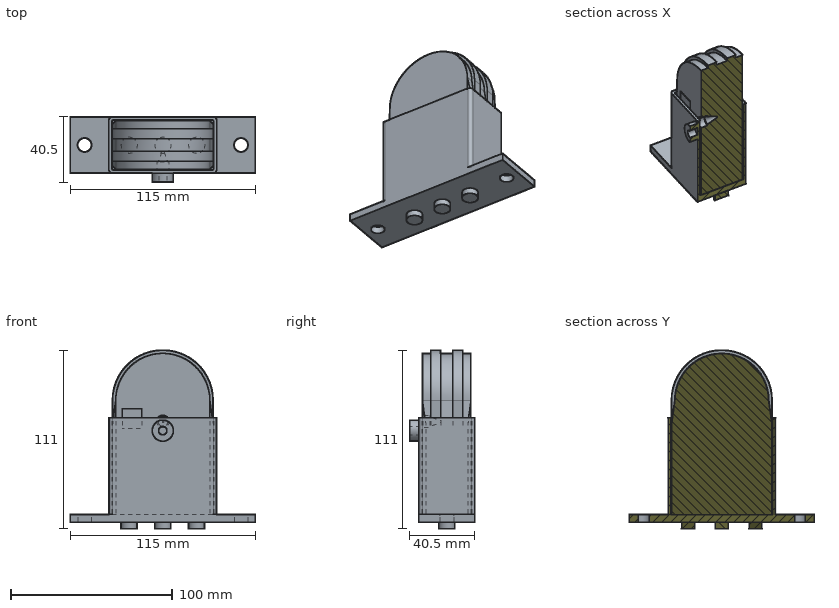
import cadquery as cq

PLATE_LENGTH = 115.0
PLATE_WIDTH = 35.0
PLATE_THICKNESS = 5.0
PLATE_FRONT = -PLATE_WIDTH / 2
MOUNT_HOLE_SPACING = 97.1
MOUNT_HOLE_DIAMETER = 8.5

BOX_LENGTH = 66.9
BOX_TOP = 65.0
WALL = 2.0
CORNER_RADIUS = 2.2
INNER_CORNER_RADIUS = 0.9
CAVITY_LENGTH = BOX_LENGTH - 2 * WALL
CAVITY_WIDTH = PLATE_WIDTH - 2 * WALL

BOSS_DIAMETER = 13.1
BOSS_LENGTH = 5.5
BOSS_HOLE_DIAMETER = 5.2
BOSS_BELOW_RIM = 8.0
BOSS_Z = BOX_TOP - BOSS_BELOW_RIM

BLOCK_TOP = 107.0
BLOCK_WIDTH = 30.1
BLOCK_FRONT = -BLOCK_WIDTH / 2
RIB_RADIUS = 31.3
RIB_HEIGHT = 2.1
CORE_RADIUS = RIB_RADIUS - RIB_HEIGHT
ARC_Z = BLOCK_TOP - RIB_RADIUS
RIB_WIDTH = 6.3
RIB_GAP = 7.5
RIB_OFFSET = (RIB_GAP + RIB_WIDTH) / 2
SLOPE_HEIGHT = 15.0

BORE_BELOW_RIM = 2.3
BORE_Z = BOX_TOP - BORE_BELOW_RIM
BORE_DIAMETER = 7.6
BORE_DEPTH = 4.6
CONE_DIAMETER = 6.0
CONE_DEPTH = 6.9
CONE_TAPER = 20.0

RECESS_SIZE = 12.1
RECESS_DEPTH = 0.1
RECESS_CENTER_X = -19.0
RECESS_TOP = 70.5

PIN_DIAMETER = 10.0
PIN_LENGTH = 4.0
PIN_SPACING = 20.9


def front_plane(y, z, x=0.0):
    """Workplane facing -Y, with its local x along X and its local y along Z."""
    return cq.Workplane(cq.Plane(origin=(x, y, z), xDir=(1, 0, 0), normal=(0, -1, 0)))


def rounded_column(length, width, radius):
    """Upright column with rounded corners, from the top of the plate to the rim of the box."""
    return (
        cq.Workplane("XY", origin=(0, 0, PLATE_THICKNESS))
        .rect(length, width)
        .extrude(BOX_TOP - PLATE_THICKNESS)
        .edges("|Z")
        .fillet(radius)
    )


def make_housing():
    """Plate, box walls and boss in one piece."""
    plate = (
        cq.Workplane("XY")
        .box(PLATE_LENGTH, PLATE_WIDTH, PLATE_THICKNESS, centered=(True, True, False))
        .faces(">Z")
        .workplane()
        .rarray(MOUNT_HOLE_SPACING, 1.2, 2, 1)
        .hole(MOUNT_HOLE_DIAMETER)
    )
    outside = rounded_column(BOX_LENGTH, PLATE_WIDTH, CORNER_RADIUS)
    cavity = rounded_column(CAVITY_LENGTH, CAVITY_WIDTH, INNER_CORNER_RADIUS)
    boss = (
        front_plane(PLATE_FRONT, BOSS_Z)
        .circle(BOSS_DIAMETER / 2)
        .circle(BOSS_HOLE_DIAMETER / 2)
        .extrude(BOSS_LENGTH)
    )
    return plate.union(outside.cut(cavity)).union(boss)


def arched_slab(radius, width, center_y):
    """Upright slab with a round top; below the arc its sides slope out to the width of the ribs."""
    slope_end_z = ARC_Z - SLOPE_HEIGHT
    outline = front_plane(center_y + width / 2, 0).moveTo(-RIB_RADIUS, PLATE_THICKNESS)
    outline = outline.lineTo(-RIB_RADIUS, slope_end_z)
    outline = outline.lineTo(-radius, ARC_Z)
    outline = outline.threePointArc((0, ARC_Z + radius), (radius, ARC_Z))
    outline = outline.lineTo(RIB_RADIUS, slope_end_z)
    outline = outline.lineTo(RIB_RADIUS, PLATE_THICKNESS)
    return outline.close().extrude(width)


def chamfered_column():
    """Column whose 45 degree corners leave its front face as wide as the arc of the core."""
    return (
        cq.Workplane("XY", origin=(0, 0, PLATE_THICKNESS))
        .rect(2 * RIB_RADIUS, BLOCK_WIDTH)
        .extrude(BLOCK_TOP - PLATE_THICKNESS)
        .edges("|Z")
        .chamfer(RIB_HEIGHT)
    )


def front_hole():
    bore = front_plane(BLOCK_FRONT, BORE_Z).circle(BORE_DIAMETER / 2).extrude(-BORE_DEPTH)
    cone = (
        front_plane(BLOCK_FRONT + BORE_DEPTH, BORE_Z)
        .circle(CONE_DIAMETER / 2)
        .extrude(-CONE_DEPTH, taper=CONE_TAPER)
    )
    return bore.union(cone)


def front_recess():
    return (
        front_plane(BLOCK_FRONT, RECESS_TOP - RECESS_SIZE / 2, RECESS_CENTER_X)
        .rect(RECESS_SIZE, RECESS_SIZE)
        .extrude(-RECESS_DEPTH)
    )


def make_block():
    """Arched core with two raised ribs running over it."""
    block = arched_slab(CORE_RADIUS, BLOCK_WIDTH, 0).intersect(chamfered_column())
    for center_y in (-RIB_OFFSET, RIB_OFFSET):
        block = block.union(arched_slab(RIB_RADIUS, RIB_WIDTH, center_y))
    return block.cut(front_hole()).cut(front_recess())


def make_pin(center_x):
    """Short round pin hanging from the underside of the plate."""
    return cq.Workplane("XY", origin=(center_x, 0, 0)).circle(PIN_DIAMETER / 2).extrude(-PIN_LENGTH)


housing = make_housing()
block = make_block()
pins = [make_pin(center_x) for center_x in (-PIN_SPACING, 0, PIN_SPACING)]
result = cq.Compound.makeCompound([housing.val(), block.val(), *[pin.val() for pin in pins]])